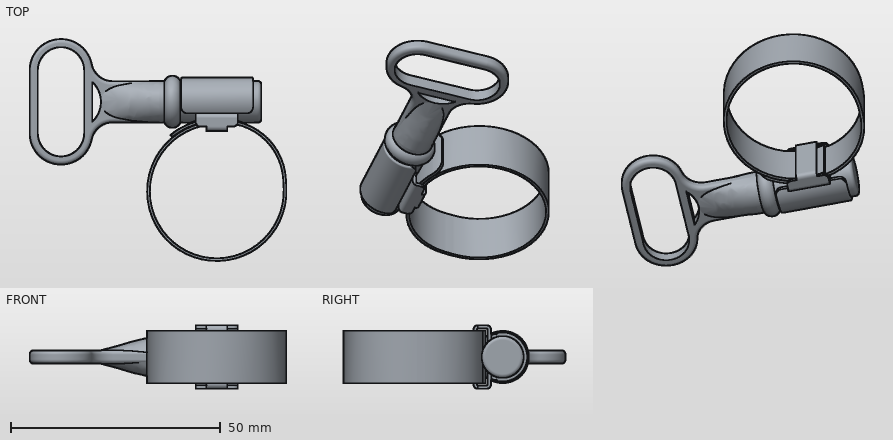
import cadquery as cq
import math

GRIP_WIDTH = 15.0
GRIP_LENGTH = 30.0
GRIP_RIM = 2.0
GRIP_THICKNESS = 3.2
GRIP_EDGE_RADIUS = 1.0
NECK_HALF_WIDTH = 4.95
NECK_FILLET = 5.0
CRESCENT_DEPTH = 2.0
CRESCENT_HALF_LENGTH = 4.7
SHAFT_START = 31.0
SHAFT_RADIUS = 5.0
SHAFT_END = 55.3
SHAFT_TIP_FILLET = 0.9
FLARE_SECTIONS = [
    (16.3, 4.6, 1.5),
    (20.5, 4.75, 2.55),
    (25.5, 4.9, 4.0),
    (SHAFT_START, SHAFT_RADIUS, SHAFT_RADIUS),
]
COLLAR_START = 32.0
COLLAR_WIDTH = 4.15
COLLAR_RADIUS = 6.25

BAND_X = 44.65
BAND_RADIUS = 16.64
BAND_BOTTOM_Y = -37.99
BAND_Y = BAND_BOTTOM_Y + BAND_RADIUS
BAND_THICKNESS = 0.7
BAND_HEIGHT = 12.6
RAMP_START_ANGLE = 3.0
RAMP_STRAIGHT = 2.0
RAMP_RADIUS = 14.87
RAMP_END_ANGLE = 79.0
OVERLAP_ANGLE = 75.0
TAIL_START_ANGLE = 73.0
TAIL_END_ANGLE = 129.5
TAIL_CORNER_RADIUS = 2.8
TAIL_GAP = 0.05
TAIL_OUTER_RADIUS = BAND_RADIUS + TAIL_GAP + BAND_THICKNESS
BAND_CLEARANCE = 0.1

SHEET = 0.85
SADDLE_RADIUS = SHAFT_RADIUS + SHEET
SADDLE_START = COLLAR_START + COLLAR_WIDTH
SADDLE_END = 53.3
SADDLE_CORNER_RADIUS = 1.5
SADDLE_EDGE_RADIUS = 0.4
CLIP_TOP_Y = -2.75
CLIP_BOTTOM_Y = -7.0
CLIP_X = BAND_X
CLIP_WIDTH = 10.1
CLIP_HEIGHT = 15.2
CLIP_BEND_RADIUS = 1.1
CLIP_INNER_BEND_RADIUS = CLIP_BEND_RADIUS - SHEET
CLIP_TAB_WIDTH = 5.0


def grip_slab():
    """Flat outline of the loop and neck, without openings, with rounded outer edges."""
    end_radius = GRIP_WIDTH / 2
    arc_y = GRIP_LENGTH / 2 - end_radius
    fillet_y = NECK_HALF_WIDTH + NECK_FILLET
    centre_distance = end_radius + NECK_FILLET
    fillet_x = end_radius + math.sqrt(centre_distance**2 - (fillet_y - arc_y) ** 2)
    share = end_radius / centre_distance
    tangent_x = end_radius + share * (fillet_x - end_radius)
    tangent_y = arc_y + share * (fillet_y - arc_y)
    slab_end = COLLAR_START + COLLAR_WIDTH / 2

    start_angle = math.atan2(fillet_y - arc_y, fillet_x - end_radius) + math.pi
    middle_angle = (start_angle + 1.5 * math.pi) / 2
    middle_x = fillet_x + NECK_FILLET * math.cos(middle_angle)
    middle_y = fillet_y + NECK_FILLET * math.sin(middle_angle)

    return (
        cq.Workplane("XY")
        .workplane(offset=-GRIP_THICKNESS / 2)
        .moveTo(0, -arc_y)
        .lineTo(0, arc_y)
        .threePointArc((end_radius, GRIP_LENGTH / 2), (tangent_x, tangent_y))
        .threePointArc((middle_x, middle_y), (fillet_x, NECK_HALF_WIDTH))
        .lineTo(slab_end, NECK_HALF_WIDTH)
        .lineTo(slab_end, -NECK_HALF_WIDTH)
        .lineTo(fillet_x, -NECK_HALF_WIDTH)
        .threePointArc((middle_x, -middle_y), (tangent_x, -tangent_y))
        .threePointArc((end_radius, -GRIP_LENGTH / 2), (0, -arc_y))
        .close()
        .extrude(GRIP_THICKNESS)
        .faces("|Z")
        .edges()
        .fillet(GRIP_EDGE_RADIUS)
    )


def grip_openings():
    """Finger window of the loop and the crescent between the loop and the neck."""
    window = (
        cq.Workplane("XY")
        .center(GRIP_WIDTH / 2, 0)
        .slot2D(GRIP_LENGTH - 2 * GRIP_RIM, GRIP_WIDTH - 2 * GRIP_RIM, 90)
        .extrude(SHAFT_RADIUS, both=True)
    )
    crescent = (
        cq.Workplane("XY")
        .moveTo(GRIP_WIDTH, -CRESCENT_HALF_LENGTH)
        .threePointArc((GRIP_WIDTH + CRESCENT_DEPTH, 0), (GRIP_WIDTH, CRESCENT_HALF_LENGTH))
        .close()
        .extrude(SHAFT_RADIUS, both=True)
    )
    return window.union(crescent)


def neck_flare():
    """Smooth change from the flat neck to the round shaft through elliptical sections."""
    flare = cq.Workplane("YZ")
    previous_x = 0
    for x, half_width, half_height in FLARE_SECTIONS:
        flare = flare.workplane(offset=x - previous_x).ellipse(half_width, half_height)
        previous_x = x
    return flare.loft()


def shaft():
    """Round shaft with a full-round collar and a rounded tip."""
    rod = (
        cq.Workplane("YZ", origin=(SHAFT_START, 0, 0))
        .circle(SHAFT_RADIUS)
        .extrude(SHAFT_END - SHAFT_START)
        .faces(">X")
        .edges()
        .fillet(SHAFT_TIP_FILLET)
    )
    round_radius = COLLAR_WIDTH / 2
    collar_end = COLLAR_START + COLLAR_WIDTH
    collar = (
        cq.Workplane("XY")
        .moveTo(COLLAR_START, 0)
        .lineTo(COLLAR_START, COLLAR_RADIUS - round_radius)
        .threePointArc(
            (COLLAR_START + round_radius, COLLAR_RADIUS),
            (collar_end, COLLAR_RADIUS - round_radius),
        )
        .lineTo(collar_end, 0)
        .close()
        .revolve(360, (0, 0, 0), (1, 0, 0))
    )
    return rod.union(collar)


def screw_handle():
    """Grip, flared neck and shaft, relieved where the band passes under the shaft."""
    relief = (
        cq.Workplane("XY", origin=(BAND_X, BAND_Y, 0))
        .circle(TAIL_OUTER_RADIUS + BAND_CLEARANCE)
        .extrude(BAND_HEIGHT, both=True)
    )
    grip = grip_slab().union(neck_flare()).cut(grip_openings())
    return grip.union(shaft()).cut(relief)


def ring_sector(centre_x, centre_y, outer_radius, start_angle, end_angle):
    """Band-high arc of strip between two angles in degrees about the given centre."""
    def at(radius, angle):
        turn = math.radians(angle)
        return (centre_x + radius * math.cos(turn), centre_y + radius * math.sin(turn))

    inner_radius = outer_radius - BAND_THICKNESS
    middle_angle = (start_angle + end_angle) / 2
    return (
        cq.Workplane("XY", origin=(0, 0, -BAND_HEIGHT / 2))
        .moveTo(*at(inner_radius, start_angle))
        .threePointArc(at(inner_radius, middle_angle), at(inner_radius, end_angle))
        .lineTo(*at(outer_radius, end_angle))
        .threePointArc(at(outer_radius, middle_angle), at(outer_radius, start_angle))
        .close()
        .extrude(BAND_HEIGHT)
    )


def band_tail():
    """Overlapping end of the strip, with the two corners of its tip rounded."""
    strip = ring_sector(BAND_X, BAND_Y, TAIL_OUTER_RADIUS, TAIL_START_ANGLE, TAIL_END_ANGLE)
    turn = math.radians(TAIL_END_ANGLE)
    tip_plane = cq.Plane(
        origin=(BAND_X, BAND_Y, 0),
        xDir=(-math.sin(turn), math.cos(turn), 0),
        normal=(math.cos(turn), math.sin(turn), 0),
    )
    tongue = (
        cq.Workplane(tip_plane)
        .center(-BAND_RADIUS, 0)
        .rect(2 * BAND_RADIUS, BAND_HEIGHT)
        .extrude(2 * BAND_RADIUS)
        .edges(cq.selectors.ParallelDirSelector(tip_plane.zDir))
        .fillet(TAIL_CORNER_RADIUS)
    )
    return strip.intersect(tongue)


def hose_band():
    """Strip turned once around, ramping outwards on its right side into the overlapping tail."""
    main_turn = ring_sector(BAND_X, BAND_Y, BAND_RADIUS, OVERLAP_ANGLE, 360 + RAMP_START_ANGLE)
    turn = math.radians(RAMP_START_ANGLE)
    start_plane = cq.Plane(
        origin=(BAND_X, BAND_Y, 0),
        xDir=(math.cos(turn), math.sin(turn), 0),
        normal=(-math.sin(turn), math.cos(turn), 0),
    )
    straight = (
        cq.Workplane(start_plane)
        .center(BAND_RADIUS - BAND_THICKNESS / 2, 0)
        .rect(BAND_THICKNESS, BAND_HEIGHT)
        .extrude(RAMP_STRAIGHT)
    )
    arc_centre = start_plane.toWorldCoords((BAND_RADIUS - RAMP_RADIUS, 0, RAMP_STRAIGHT))
    ramp = ring_sector(arc_centre.x, arc_centre.y, RAMP_RADIUS, RAMP_START_ANGLE, RAMP_END_ANGLE)
    return main_turn.union(straight).union(ramp).union(band_tail())


def saddle():
    """Half-round sheet over the shaft, with rounded lower corners."""
    length = SADDLE_END - SADDLE_START
    outline = (
        cq.Workplane("XY")
        .moveTo(SADDLE_START, CLIP_TOP_Y)
        .rect(length, SADDLE_RADIUS - CLIP_TOP_Y, centered=False)
        .extrude(SADDLE_RADIUS, both=True)
        .edges("|Z and <Y")
        .fillet(SADDLE_CORNER_RADIUS)
    )
    tube = (
        cq.Workplane("YZ", origin=(SADDLE_START, 0, 0))
        .circle(SADDLE_RADIUS)
        .extrude(length)
        .faces("|X")
        .edges()
        .fillet(SADDLE_EDGE_RADIUS)
    )
    return tube.intersect(outline)


def clip():
    """Sheet loop around the band, narrowed to a tab where it passes inside the band."""
    height_y = CLIP_TOP_Y - CLIP_BOTTOM_Y
    middle_y = (CLIP_TOP_Y + CLIP_BOTTOM_Y) / 2
    profile = cq.Workplane("YZ", origin=(CLIP_X - CLIP_WIDTH / 2, middle_y, 0))
    outside = profile.rect(height_y, CLIP_HEIGHT).extrude(CLIP_WIDTH)
    outside = outside.edges("|X").fillet(CLIP_BEND_RADIUS)
    inside = profile.rect(height_y - 2 * SHEET, CLIP_HEIGHT - 2 * SHEET).extrude(CLIP_WIDTH)
    inside = inside.edges("|X").fillet(CLIP_INNER_BEND_RADIUS)

    plate_bottom_y = CLIP_BOTTOM_Y + CLIP_BEND_RADIUS
    plate = (
        cq.Workplane("XY")
        .moveTo(CLIP_X - CLIP_WIDTH / 2, plate_bottom_y)
        .rect(CLIP_WIDTH, CLIP_TOP_Y - plate_bottom_y, centered=False)
        .extrude(CLIP_HEIGHT, both=True)
        .edges("|Z and <Y")
        .fillet(CLIP_BEND_RADIUS)
    )
    tab = (
        cq.Workplane("XY")
        .center(CLIP_X, middle_y)
        .rect(CLIP_TAB_WIDTH, height_y)
        .extrude(CLIP_HEIGHT, both=True)
    )
    return outside.cut(inside).intersect(plate.union(tab))


def housing():
    """Saddle and clip as one sheet part, bored for the shaft."""
    bore = (
        cq.Workplane("YZ", origin=(SADDLE_START, 0, 0))
        .circle(SHAFT_RADIUS)
        .extrude(SADDLE_END - SADDLE_START)
    )
    return saddle().union(clip()).cut(bore)


handle_body = screw_handle()
band_body = hose_band()
housing_body = housing()

result = cq.Compound.makeCompound([
    handle_body.solids().val(),
    band_body.solids().val(),
    housing_body.solids().val(),
])